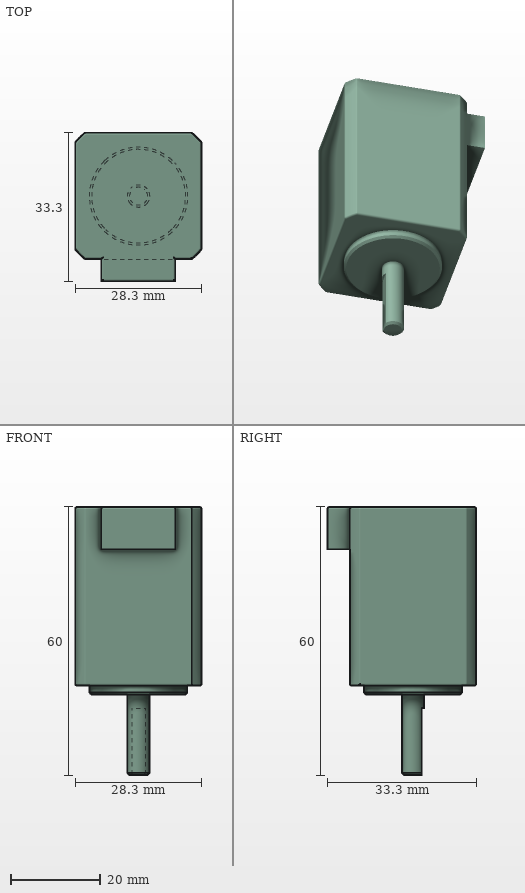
import cadquery as cq
import math

body_width = 28.3
body_height = 40.0
corner_trim = 2.2
edge_radius = 0.5

connector_width = 16.6
connector_depth = 5.0
connector_height = 9.5

pilot_diameter = 22.0
pilot_height = 2.0
shaft_diameter = 5.0
shaft_length = 20.0
shaft_flat_depth = 0.5
shaft_flat_length = 15.0
rim_chamfer = 0.5

half_width = body_width / 2
corner_offset = half_width - corner_trim
corner_radius = math.hypot(half_width, corner_offset)

sharp_edge_point = (corner_offset, -half_width, body_height / 2)
sharp_arc_point = (corner_radius * math.sqrt(0.5), -corner_radius * math.sqrt(0.5), 0)


def make_body():
    prism = cq.Workplane("XY").rect(body_width, body_width).extrude(body_height)
    corner_cylinder = cq.Workplane("XY").circle(corner_radius).extrude(body_height)
    trimmed = prism.intersect(corner_cylinder)

    candidates = trimmed.edges("|Z").vals() + trimmed.faces("<Z").edges().vals()
    sharp_edges = [
        trimmed.edges(cq.NearestToPointSelector(point)).val()
        for point in (sharp_edge_point, sharp_arc_point)
    ]
    rounded_edges = [
        edge for edge in candidates
        if not any(edge.isSame(sharp) for sharp in sharp_edges)
    ]
    return trimmed.newObject(rounded_edges).fillet(edge_radius)


def make_connector():
    reach = half_width + connector_depth
    return (
        cq.Workplane("XY", origin=(0, -reach / 2, body_height - connector_height))
        .rect(connector_width, reach)
        .extrude(connector_height)
    )


def make_housing():
    housing = make_body().union(make_connector())
    return housing.faces(">Z").edges().fillet(edge_radius)


def make_round_boss(diameter, length):
    boss = cq.Workplane("XY").circle(diameter / 2).extrude(-length)
    return boss.faces("<Z").chamfer(rim_chamfer)


def make_shaft():
    shaft = make_round_boss(shaft_diameter, shaft_length)
    flat_y = shaft_diameter / 2 - shaft_flat_depth
    flat_cutter = (
        cq.Workplane("XY", origin=(0, flat_y + shaft_diameter / 2, -shaft_length))
        .rect(shaft_diameter, shaft_diameter)
        .extrude(shaft_flat_length)
    )
    return shaft.cut(flat_cutter)


pilot = make_round_boss(pilot_diameter, pilot_height)
result = make_housing().union(pilot).union(make_shaft())